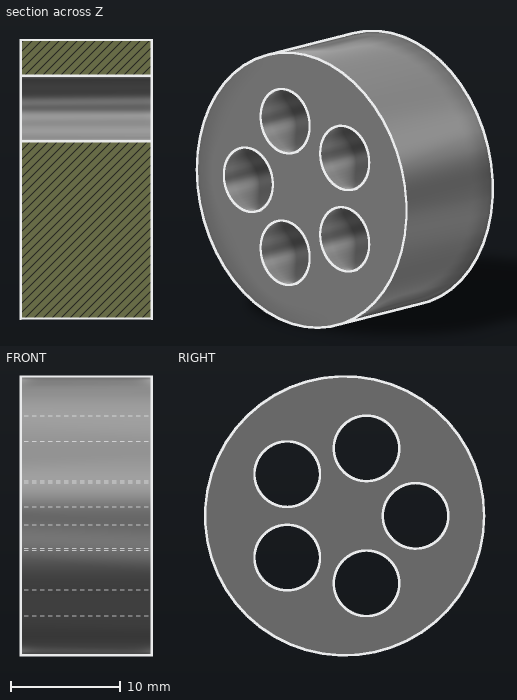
import cadquery as cq

disc_diameter = 25.6
disc_thickness = 12.0

hole_count = 5
hole_diameter = 6.0
hole_circle_radius = 6.5

disc = cq.Workplane("YZ").circle(disc_diameter / 2).extrude(disc_thickness)

holes = (
    cq.Workplane("YZ")
    .polarArray(hole_circle_radius, 0, 360, hole_count)
    .circle(hole_diameter / 2)
    .extrude(disc_thickness)
)

result = disc.cut(holes)